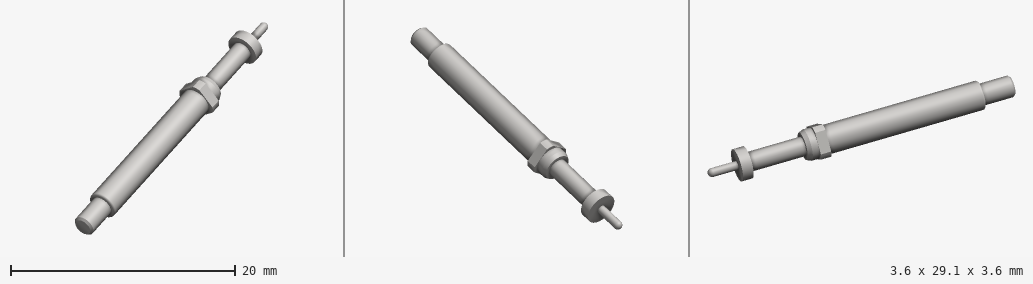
import cadquery as cq

TOTAL_LENGTH = 29.1
TAIL_END_Y = -TOTAL_LENGTH / 2

TAIL_LENGTH = 3.0
BARREL_LENGTH = 15.0
NUT_LENGTH = 1.0
SHOULDER_LENGTH = 1.05
PLUNGER_LENGTH = 5.27
COLLAR_LENGTH = 1.02

TAIL_DIAMETER = 2.0
BARREL_DIAMETER = 2.7
SHOULDER_DIAMETER = 2.9
PLUNGER_DIAMETER = 1.8
COLLAR_DIAMETER = 3.0
PIN_DIAMETER = 0.81
NUT_DIAMETER = 3.6
NUT_ACROSS_FLATS = 3.0

TAIL_CHAMFER = 0.2
SHOULDER_TAPER_LENGTH = 0.4
SHOULDER_TAPER_DEPTH = 0.17

BARREL_FILLET = 0.2

BARREL_START_Y = TAIL_END_Y + TAIL_LENGTH
NUT_START_Y = BARREL_START_Y + BARREL_LENGTH
SHOULDER_START_Y = NUT_START_Y + NUT_LENGTH
PLUNGER_START_Y = SHOULDER_START_Y + SHOULDER_LENGTH
COLLAR_START_Y = PLUNGER_START_Y + PLUNGER_LENGTH
PIN_START_Y = COLLAR_START_Y + COLLAR_LENGTH
TIP_Y = TOTAL_LENGTH / 2


def round_step(diameter, start_y, length):
    """Cylinder along Y from start_y towards the tip."""
    return cq.Workplane("XZ", origin=(0, start_y, 0)).circle(diameter / 2).extrude(-length)


def tapered_shoulder():
    """Shoulder with a long shallow chamfer round its plunger-side rim."""
    radius = SHOULDER_DIAMETER / 2
    profile = (
        cq.Workplane("XY")
        .moveTo(0, SHOULDER_START_Y)
        .lineTo(radius, SHOULDER_START_Y)
        .lineTo(radius, PLUNGER_START_Y - SHOULDER_TAPER_LENGTH)
        .lineTo(radius - SHOULDER_TAPER_DEPTH, PLUNGER_START_Y)
        .lineTo(0, PLUNGER_START_Y)
        .close()
    )
    return profile.revolve(360, (0, 0, 0), (0, 1, 0))


def domed_pin():
    """Thin contact pin ending in a hemisphere."""
    radius = PIN_DIAMETER / 2
    dome_start_y = TIP_Y - radius
    shank = round_step(PIN_DIAMETER, PIN_START_Y, dome_start_y - PIN_START_Y)
    dome = cq.Workplane("XY").sphere(radius).translate((0, dome_start_y, 0))
    return shank.union(dome)


def square_nut():
    """Square with its corners up, down and sideways, rounded off by a cylinder."""
    middle_y = NUT_START_Y + NUT_LENGTH / 2
    square = (
        cq.Workplane("XY")
        .box(NUT_ACROSS_FLATS, NUT_LENGTH, NUT_ACROSS_FLATS)
        .rotate((0, 0, 0), (0, 1, 0), 45)
        .translate((0, middle_y, 0))
    )
    return square.intersect(round_step(NUT_DIAMETER, NUT_START_Y, NUT_LENGTH))


tail = round_step(TAIL_DIAMETER, TAIL_END_Y, TAIL_LENGTH).faces("<Y").chamfer(TAIL_CHAMFER)
barrel = round_step(BARREL_DIAMETER, BARREL_START_Y, BARREL_LENGTH).faces("<Y").edges().fillet(BARREL_FILLET)
plunger = round_step(PLUNGER_DIAMETER, PLUNGER_START_Y, PLUNGER_LENGTH)
collar = round_step(COLLAR_DIAMETER, COLLAR_START_Y, COLLAR_LENGTH)

result = tail
for section in (barrel, square_nut(), tapered_shoulder(), plunger, collar, domed_pin()):
    result = result.union(section)